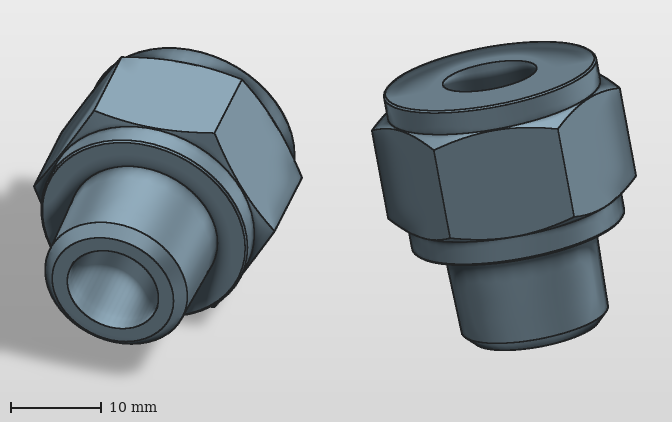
import cadquery as cq
import math

total_length = 29.5
body_length = 18.0
across_flats = 24.0
hex_start = 2.7
hex_length = 12.5
hex_bevel_angle = 30.0
collar_radius = 11.9
collar_chamfer = 0.2
stub_root_radius = 8.5
stub_end_radius = 8.2
stub_chamfer_length = 1.25
stub_tip_radius = 7.0
bore_radius = 5.25

corner_radius = across_flats / math.sqrt(3)
back_y = total_length / 2
shoulder_y = back_y - body_length
tip_y = -back_y
hex_back_y = back_y - hex_start
hex_front_y = hex_back_y - hex_length


def revolve_profile(points):
    """Turn a closed (radius, y) profile about the Y axis."""
    profile = cq.Workplane("XY").polyline(points).close()
    return profile.revolve(360, (0, 0, 0), (0, 1, 0))


def make_hexagon():
    """Hexagon with flats on +Z and -Z and conical bevels on both ends."""
    prism = (
        cq.Workplane("XZ", origin=(0, hex_back_y, 0))
        .polygon(6, 2 * corner_radius)
        .extrude(hex_length)
    )
    bevel_drop = (corner_radius - collar_radius) * math.tan(math.radians(hex_bevel_angle))
    envelope = revolve_profile([
        (0, hex_front_y),
        (collar_radius, hex_front_y),
        (corner_radius, hex_front_y + bevel_drop),
        (corner_radius, hex_back_y - bevel_drop),
        (collar_radius, hex_back_y),
        (0, hex_back_y),
    ])
    return prism.intersect(envelope)


def make_turned_body():
    """Round collar with chamfered rims and the tapered stub."""
    return revolve_profile([
        (0, tip_y),
        (stub_tip_radius, tip_y),
        (stub_end_radius, tip_y + stub_chamfer_length),
        (stub_root_radius, shoulder_y),
        (collar_radius - collar_chamfer, shoulder_y),
        (collar_radius, shoulder_y + collar_chamfer),
        (collar_radius, back_y - collar_chamfer),
        (collar_radius - collar_chamfer, back_y),
        (0, back_y),
    ])


def make_bore():
    """Straight hole through the whole length."""
    return cq.Workplane("XZ", origin=(0, back_y, 0)).circle(bore_radius).extrude(total_length)


result = make_turned_body().union(make_hexagon()).cut(make_bore())